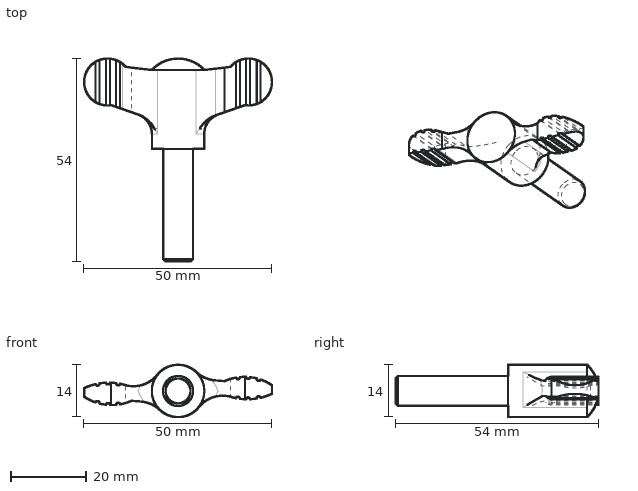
import cadquery as cq
import math

total_length = 54.0
hub_diameter = 14.0
hub_length = 21.0
dome_height = 3.0
rod_diameter = 8.0
rod_chamfer = 0.7
hub_radius = hub_diameter / 2
head_length = hub_length + dome_height
rod_length = total_length - head_length

wing_span = 50.0
lobe_radius = 6.25
wing_tip_x = wing_span / 2
lobe_x = wing_tip_x - lobe_radius
lobe_y = head_length - lobe_radius
lower_corner_x = 17.75
neck_top_x = 14.0
neck_top_mid = (9.85, 21.305)
lower_edge_angle = 19.2
root_blend_radius = 5.4

root_radius = 8.25
upper_touch_x = 4.8
upper_root_end_x = 9.95
upper_flat_end = (12.35, 2.65)
upper_crown = (18.1, 3.8)
upper_tip_z = 1.5
lower_touch_x = 5.45
lower_root_end_x = 14.8
lower_crown = (19.45, -2.2)
lower_tip_z = -0.75

groove_positions = (15.95, 18.65, 21.45)
groove_radius = 0.515


def circle_height(x, center, radius, side):
    """Ordinate of a circle at x; side is +1 for its upper half, -1 for its lower half."""
    return center[1] + side * math.sqrt(radius**2 - (x - center[0]) ** 2)


def root_arc(touch_x, end_x, side):
    """Start, middle and end of a concave arc that leaves the hub circle tangentially."""
    start = (touch_x, circle_height(touch_x, (0, 0), hub_radius, side))
    reach = 1 + root_radius / hub_radius
    center = (start[0] * reach, start[1] * reach)
    middle_x = (touch_x + end_x) / 2
    middle = (middle_x, circle_height(middle_x, center, root_radius, -side))
    end = (end_x, circle_height(end_x, center, root_radius, -side))
    return start, middle, end


def arc_center(first, middle, last):
    """Center of the circle through three points."""
    ax, ay = middle[0] - first[0], middle[1] - first[1]
    bx, by = last[0] - first[0], last[1] - first[1]
    a_squared = ax**2 + ay**2
    b_squared = bx**2 + by**2
    divisor = 2 * (ax * by - ay * bx)
    return (
        first[0] + (by * a_squared - ay * b_squared) / divisor,
        first[1] + (ax * b_squared - bx * a_squared) / divisor,
    )


def make_body():
    """Domed hub and chamfered rod as one turned shape."""
    rod_radius = rod_diameter / 2
    dome_radius = (hub_radius**2 + dome_height**2) / (2 * dome_height)
    dome_mid_x = hub_radius / 2
    dome_mid_y = circle_height(dome_mid_x, (0, head_length - dome_radius), dome_radius, 1)
    return (
        cq.Workplane("XY")
        .moveTo(0, -rod_length)
        .lineTo(rod_radius - rod_chamfer, -rod_length)
        .lineTo(rod_radius, -rod_length + rod_chamfer)
        .lineTo(rod_radius, 0)
        .lineTo(hub_radius, 0)
        .lineTo(hub_radius, hub_length)
        .threePointArc((dome_mid_x, dome_mid_y), (0, head_length))
        .close()
        .revolve(360, (0, 0, 0), (0, 1, 0))
    )


def make_thickness_profile():
    """Wing cross-section with its grooves, swept along the hub axis."""
    upper_start, upper_middle, upper_end = root_arc(upper_touch_x, upper_root_end_x, 1)
    lower_start, lower_middle, lower_end = root_arc(lower_touch_x, lower_root_end_x, -1)
    upper_tip = (wing_tip_x, upper_tip_z)
    lower_tip = (wing_tip_x, lower_tip_z)
    profile = (
        cq.Workplane("XZ")
        .moveTo(0, 0)
        .lineTo(*upper_start)
        .threePointArc(upper_middle, upper_end)
        .lineTo(*upper_flat_end)
        .threePointArc(upper_crown, upper_tip)
        .lineTo(*lower_tip)
        .threePointArc(lower_crown, lower_end)
        .threePointArc(lower_middle, lower_start)
        .close()
        .extrude(-head_length)
    )
    faces = ((upper_flat_end, upper_crown, upper_tip, 1), (lower_end, lower_crown, lower_tip, -1))
    for first, crown, last, side in faces:
        center = arc_center(first, crown, last)
        radius = math.dist(center, crown)
        centers = [(x, circle_height(x, center, radius, side)) for x in groove_positions]
        grooves = cq.Workplane("XZ").pushPoints(centers).circle(groove_radius).extrude(-head_length)
        profile = profile.cut(grooves)
    return profile


def make_wing():
    """One wing: its plan outline and root blend, limited to the thickness profile."""
    slope = math.radians(lower_edge_angle)
    lower_corner_y = circle_height(lower_corner_x, (lobe_x, lobe_y), lobe_radius, -1)
    inner_y = lower_corner_y - lower_corner_x * math.tan(slope)
    neck_top_y = circle_height(neck_top_x, (lobe_x, lobe_y), lobe_radius, 1)
    outline = (
        cq.Workplane("XY")
        .moveTo(0, inner_y)
        .lineTo(lower_corner_x, lower_corner_y)
        .threePointArc((wing_tip_x, lobe_y), (neck_top_x, neck_top_y))
        .threePointArc(neck_top_mid, (hub_radius, hub_length))
        .lineTo(0, hub_length)
        .close()
        .extrude(hub_radius, both=True)
    )

    root_y = inner_y + hub_radius * math.tan(slope)
    tangent_length = root_blend_radius * math.tan((math.pi / 2 - slope) / 2)
    blend_end_x = hub_radius + tangent_length * math.cos(slope)
    blend_end_y = root_y + tangent_length * math.sin(slope)
    blend = (
        cq.Workplane("XY")
        .moveTo(0, root_y - tangent_length)
        .lineTo(hub_radius, root_y - tangent_length)
        .radiusArc((blend_end_x, blend_end_y), root_blend_radius)
        .lineTo(blend_end_x, lobe_y)
        .lineTo(0, lobe_y)
        .close()
        .revolve(360, (0, 0, 0), (0, 1, 0))
    )
    return outline.union(blend).intersect(make_thickness_profile())


wing = make_wing()
opposite_wing = wing.rotate((0, 0, 0), (0, 1, 0), 180)
result = make_body().union(wing).union(opposite_wing)